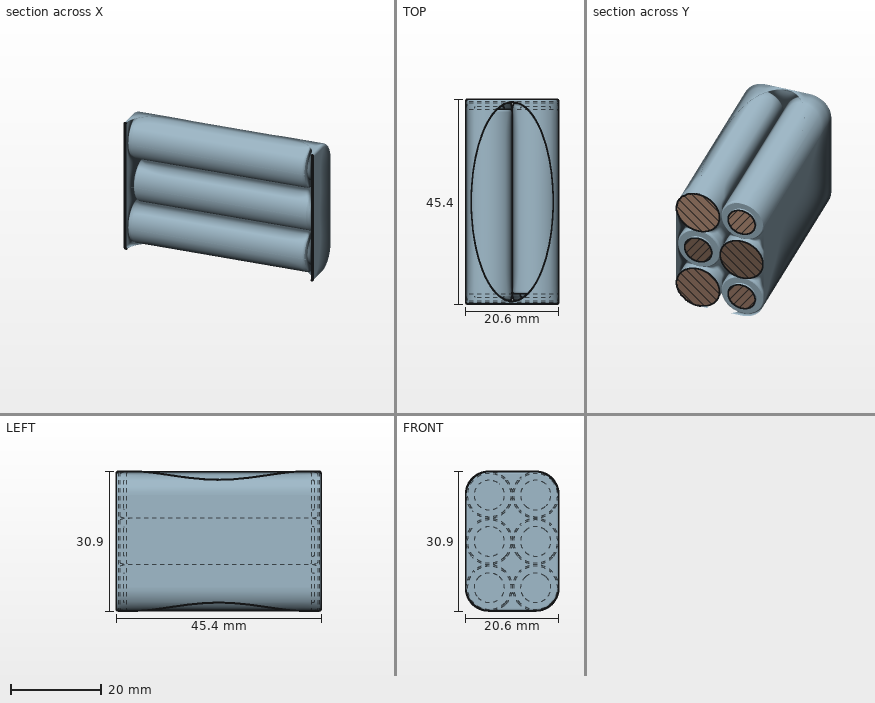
import cadquery as cq


CELL_DIAMETER = 10.25
COLUMNS = 2
ROWS = 3

PACK_LENGTH = 45.4
SIDE_WALL = 0.07
END_WALL = 0.45
WRAP_EDGE_FILLET = 0.6
CAVITY_EDGE_FILLET = 0.5
WINDOW_WIDTH = 18.15
WINDOW_LENGTH = 44.05

SHOULDER_LENGTH = 0.6
TERMINAL_FILLET = 0.4
NEGATIVE_INSET = 1.23
NEGATIVE_TERMINAL_RADIUS = 4.95
POSITIVE_INSET = 2.25
POSITIVE_SHOULDER_RADIUS = 4.8
POSITIVE_TERMINAL_RADIUS = 3.3
POSITIVE_TERMINAL_HEIGHT = 0.73

CELL_RADIUS = CELL_DIAMETER / 2
GRID_WIDTH = COLUMNS * CELL_DIAMETER
GRID_HEIGHT = ROWS * CELL_DIAMETER


def rounded_block(length, margin, edge_fillet):
    """Block around the cell grid, `margin` outside it, whose long corners are concentric with the cells."""
    return (
        cq.Workplane("XZ")
        .rect(GRID_WIDTH + 2 * margin, GRID_HEIGHT + 2 * margin)
        .extrude(length / 2, both=True)
        .edges("|Y")
        .fillet(CELL_RADIUS + margin)
        .faces("<Y or >Y")
        .edges()
        .fillet(edge_fillet)
    )


def make_wrap():
    """Thin closed wrap with an oval window above and below the cells."""
    outside = rounded_block(PACK_LENGTH, SIDE_WALL, WRAP_EDGE_FILLET)
    cavity = rounded_block(PACK_LENGTH - 2 * END_WALL, 0, CAVITY_EDGE_FILLET)
    windows = (
        cq.Workplane("XY")
        .ellipse(WINDOW_WIDTH / 2, WINDOW_LENGTH / 2)
        .extrude(GRID_HEIGHT, both=True)
    )
    return outside.cut(cavity).cut(windows)


def make_cell():
    """Cell turned about the Y axis, with its positive terminal toward +Y."""
    negative_base = -PACK_LENGTH / 2 + NEGATIVE_INSET
    negative_end = negative_base - TERMINAL_FILLET
    body_start = negative_base + SHOULDER_LENGTH
    positive_base = PACK_LENGTH / 2 - POSITIVE_INSET
    body_end = positive_base - SHOULDER_LENGTH
    positive_end = positive_base + POSITIVE_TERMINAL_HEIGHT

    return (
        cq.Workplane("YZ")
        .moveTo(negative_end, 0)
        .lineTo(negative_end, NEGATIVE_TERMINAL_RADIUS - TERMINAL_FILLET)
        .tangentArcPoint((negative_base, NEGATIVE_TERMINAL_RADIUS), relative=False)
        .lineTo(body_start, CELL_RADIUS)
        .lineTo(body_end, CELL_RADIUS)
        .tangentArcPoint((positive_base, POSITIVE_SHOULDER_RADIUS), relative=False)
        .lineTo(positive_base, POSITIVE_TERMINAL_RADIUS)
        .lineTo(positive_end - TERMINAL_FILLET, POSITIVE_TERMINAL_RADIUS)
        .tangentArcPoint((positive_end, POSITIVE_TERMINAL_RADIUS - TERMINAL_FILLET), relative=False)
        .lineTo(positive_end, 0)
        .close()
        .revolve(360, (0, 0, 0), (1, 0, 0))
    )


def make_cells():
    """Cells in a grid, each one facing opposite to its neighbours."""
    cell = make_cell()
    cells = []
    for column in range(COLUMNS):
        for row in range(ROWS):
            x = (column - (COLUMNS - 1) / 2) * CELL_DIAMETER
            z = (row - (ROWS - 1) / 2) * CELL_DIAMETER
            turn = 180 * ((column + row) % 2)
            cells.append(cell.rotate((0, 0, 0), (0, 0, 1), turn).translate((x, 0, z)))
    return cells


wrap = make_wrap()
cells = make_cells()

result = cq.Compound.makeCompound([wrap.val(), *[cell.val() for cell in cells]])